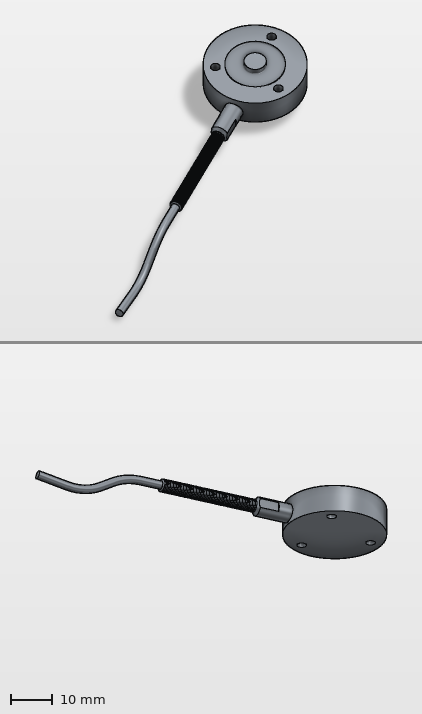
import cadquery as cq
import math


BODY_DIAMETER = 24.89
BODY_RADIUS = BODY_DIAMETER / 2
BODY_HEIGHT = 6.86
RECESS_DIAMETER = 14.48
RECESS_DEPTH = 0.5
RECESS_FILLET = 0.3

BUTTON_DIAMETER = 5.33
BUTTON_TOP = 8.02
BUTTON_CROWN = 0.1
BUTTON_BASE_FILLET = 0.25

HOLE_COUNT = 3
HOLE_DIAMETER = 2.26
HOLE_CIRCLE_RADIUS = 9.53
FIRST_HOLE_ANGLE = 90

CABLE_HEIGHT = 2.96
FITTING_DIAMETER = 4.7
FITTING_END = 21.37
FITTING_CHAMFER = 0.74
FITTING_INNER_START = BODY_RADIUS - 2
FLATS_START = 15.8
ACROSS_FLATS = 4.06

RING_COUNT = 65
WIRE_DIAMETER = 0.381
RING_MEAN_DIAMETER = 2.79
RELIEF_END = 46.05
RELIEF_START = RELIEF_END - RING_COUNT * WIRE_DIAMETER

CABLE_DIAMETER = 2.06
CABLE_START = FITTING_END
BEND_START = 51.5
DOWN_ANGLE = 31
DOWN_BEND_RADIUS = 13.9
SLOPE_LENGTH = 4.1
UP_ANGLE = 9
UP_BEND_RADIUS = 13
OVERALL_LENGTH = 91.31
TIP_REACH = OVERALL_LENGTH - BODY_RADIUS


def make_body():
    """Disc with a shallow round recess whose floor blends into its wall."""
    disc = cq.Workplane("XY").circle(BODY_RADIUS).extrude(BODY_HEIGHT)
    recess = (
        cq.Workplane("XY")
        .workplane(offset=BODY_HEIGHT - RECESS_DEPTH)
        .circle(RECESS_DIAMETER / 2)
        .extrude(RECESS_DEPTH)
        .faces("<Z")
        .edges()
        .fillet(RECESS_FILLET)
    )
    return disc.cut(recess)


def make_button():
    """Load button with a slightly domed top and a fillet at the recess floor."""
    radius = BUTTON_DIAMETER / 2
    floor = BODY_HEIGHT - RECESS_DEPTH
    shoulder = BUTTON_TOP - BUTTON_CROWN
    dome_radius = (radius**2 + BUTTON_CROWN**2) / (2 * BUTTON_CROWN)
    return (
        cq.Workplane("XZ")
        .moveTo(0, floor - RECESS_DEPTH)
        .lineTo(radius + BUTTON_BASE_FILLET, floor - RECESS_DEPTH)
        .lineTo(radius + BUTTON_BASE_FILLET, floor)
        .radiusArc((radius, floor + BUTTON_BASE_FILLET), BUTTON_BASE_FILLET)
        .lineTo(radius, shoulder)
        .radiusArc((0, BUTTON_TOP), -dome_radius)
        .close()
        .revolve(360, (0, 0, 0), (0, 1, 0))
    )


def make_mounting_holes():
    """Through holes evenly spaced on a circle."""
    return (
        cq.Workplane("XY")
        .polarArray(HOLE_CIRCLE_RADIUS, FIRST_HOLE_ANGLE, 360, HOLE_COUNT)
        .circle(HOLE_DIAMETER / 2)
        .extrude(BODY_HEIGHT)
    )


def cable_section(distance):
    """Plane square to the straight cable axis, facing -Y, at a distance from the disc axis."""
    return cq.Workplane("XZ", origin=(0, -distance, CABLE_HEIGHT))


def make_fitting():
    """Round fitting with a chamfered end and two side flats."""
    fitting = (
        cable_section(FITTING_INNER_START)
        .circle(FITTING_DIAMETER / 2)
        .extrude(FITTING_END - FITTING_INNER_START)
        .faces("<Y")
        .chamfer(FITTING_CHAMFER)
    )
    flats_length = FITTING_END - FLATS_START
    flatted_zone = cable_section(FLATS_START).rect(FITTING_DIAMETER, FITTING_DIAMETER).extrude(flats_length)
    kept_zone = cable_section(FLATS_START).rect(ACROSS_FLATS, FITTING_DIAMETER).extrude(flats_length)
    return fitting.cut(flatted_zone.cut(kept_zone))


def make_strain_relief():
    """Solid sleeve whose outside is a row of touching half-round rings."""
    valley_radius = RING_MEAN_DIAMETER / 2
    crest_radius = valley_radius + WIRE_DIAMETER / 2
    profile = cq.Workplane("XY", origin=(0, 0, CABLE_HEIGHT))
    profile = profile.moveTo(0, -RELIEF_START).lineTo(valley_radius, -RELIEF_START)
    for ring in range(RING_COUNT):
        start = RELIEF_START + ring * WIRE_DIAMETER
        crest = (crest_radius, -(start + WIRE_DIAMETER / 2))
        profile = profile.threePointArc(crest, (valley_radius, -(start + WIRE_DIAMETER)))
    return profile.lineTo(0, -RELIEF_END).close().revolve(360, (0, 0, 0), (0, 1, 0))


def make_cable():
    """Round cable: straight, bent down, sloping, bent up and straight to the tip."""
    down = math.radians(DOWN_ANGLE)
    up = math.radians(UP_ANGLE)

    bend_start = (-BEND_START, CABLE_HEIGHT)
    slope_start = (
        bend_start[0] - DOWN_BEND_RADIUS * math.sin(down),
        bend_start[1] - DOWN_BEND_RADIUS * (1 - math.cos(down)),
    )
    slope_end = (
        slope_start[0] - SLOPE_LENGTH * math.cos(down),
        slope_start[1] - SLOPE_LENGTH * math.sin(down),
    )
    tail_start = (
        slope_end[0] - UP_BEND_RADIUS * (math.sin(down) + math.sin(up)),
        slope_end[1] - UP_BEND_RADIUS * (math.cos(up) - math.cos(down)),
    )
    tip_y = -TIP_REACH + CABLE_DIAMETER / 2 * math.sin(up)
    tip = (tip_y, tail_start[1] + (tail_start[0] - tip_y) * math.tan(up))

    path = (
        cq.Workplane("YZ")
        .moveTo(-CABLE_START, CABLE_HEIGHT)
        .lineTo(*bend_start)
        .radiusArc(slope_start, -DOWN_BEND_RADIUS)
        .lineTo(*slope_end)
        .radiusArc(tail_start, UP_BEND_RADIUS)
        .lineTo(*tip)
    )
    return cable_section(CABLE_START).circle(CABLE_DIAMETER / 2).sweep(path)


result = (
    make_body()
    .union(make_button())
    .cut(make_mounting_holes())
    .union(make_fitting())
    .union(make_strain_relief())
    .union(make_cable())
)